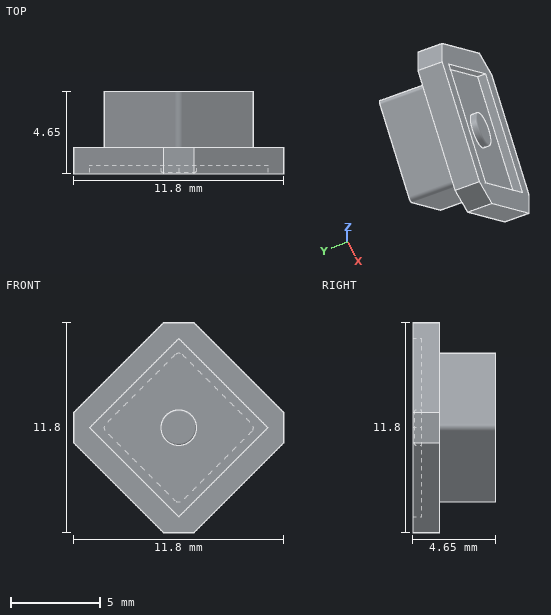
import cadquery as cq
import math

flange_width = 11.8
flange_thickness = 1.5
corner_flat = 1.7

total_depth = 4.65
block_width = 8.37
block_corner_radius = 0.3

recess_diagonal = 10.01
recess_depth = 0.5
pin_diameter = 2.0
pin_height = 0.4
pin_edge_fillet = 0.1

corner_turn = 45


def turned_square_prism(side, start_y, depth):
    """Square bar running toward +Y from start_y, standing on one corner."""
    return (
        cq.Workplane("XZ", origin=(0, start_y, 0))
        .transformed(rotate=(0, 0, corner_turn))
        .rect(side, side)
        .extrude(-depth)
    )


def flange():
    side = (flange_width + corner_flat) / math.sqrt(2)
    envelope = cq.Workplane("XY").box(flange_width, 2 * flange_thickness, flange_width)
    return turned_square_prism(side, 0, flange_thickness).intersect(envelope)


def block():
    diagonal = block_width + 2 * block_corner_radius * (math.sqrt(2) - 1)
    side = diagonal / math.sqrt(2)
    depth = total_depth - flange_thickness
    return turned_square_prism(side, flange_thickness, depth).edges("|Y").fillet(block_corner_radius)


def recess():
    return turned_square_prism(recess_diagonal / math.sqrt(2), 0, recess_depth)


def pin():
    return (
        cq.Workplane("XZ", origin=(0, recess_depth, 0))
        .circle(pin_diameter / 2)
        .extrude(pin_height)
        .faces("<Y")
        .edges()
        .fillet(pin_edge_fillet)
    )


result = flange().union(block()).cut(recess()).union(pin())